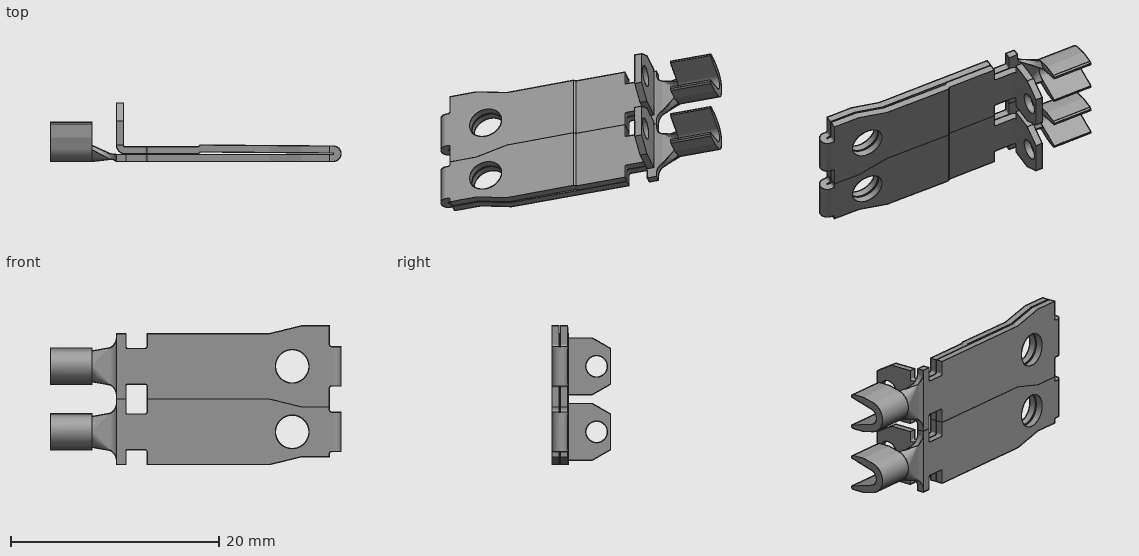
import cadquery as cq
import math


SHEET = 0.69
PITCH = 6.30
LENGTH = 27.94
HALF_PITCH = PITCH / 2

BAR_START = 6.34
BAR_END = 7.27
STRAP_HALF = 1.725
PAD_START = 9.29
PAD_END = 26.82
FLARE_START = 21.08
FLARE_END = 24.16
FLARE_STEP = 0.76
TAB_HALF = 1.905
CORNER_RADIUS = 0.2
HOLE_X = 23.24
HOLE_DIAMETER = 3.2

FOLD_RADIUS = 0.75
FOLD_X = LENGTH - FOLD_RADIUS
FOLD_THICKNESS = 2 * FOLD_RADIUS
LAYER_GAP = 0.05
JOG_START = 14.2
JOG_END = 14.4
JOG_BACK = 1.60
BACK_INNER = SHEET + LAYER_GAP
BACK_OUTER = BACK_INNER + SHEET

TANG_HALF = 2.735
TANG_TOP = 5.65
TANG_TIP_HALF = 1.72
TANG_TAPER_START = 3.88
TANG_FILLET = 0.13
TANG_HOLE_Y = 4.30
TANG_HOLE_DIAMETER = 2.05
BEND_INNER_RADIUS = 0.15
BEND_OUTER_RADIUS = BEND_INNER_RADIUS + SHEET
TANG_BASE = BACK_INNER + BEND_OUTER_RADIUS

BARREL_LENGTH = 4.02
BARREL_RADIUS = 1.55
BARREL_BORE = 0.80
LEG_ANGLE = math.radians(16)
LEG_HALF = 1.765
LEG_FLAT_START = 2.28
LEG_SHOULDER = 3.60
LEG_TIP = 3.78
LEG_TIP_OUTER = 1.64
LEG_TIP_INNER = 1.45

NECK_START = 5.76
NECK_HALF = 1.80
NECK_FRONT = 0.20
NECK_BACK = 0.76
NECK_RADIUS = 1.07
CREASE_HALF = 0.04
BEVEL_WIDTH = 0.04
BEVEL_DEPTH = 0.004
BAR_CORNER_RADIUS = 0.15


def sheet_strip(start, end, half_width):
    """Length of the front layer, centred on Z = 0."""
    return (
        cq.Workplane("XY")
        .box(end - start, SHEET, 2 * half_width, centered=(False, False, True))
        .translate((start, 0, 0))
    )


def carrier_bar():
    """Bar across the front layer, with the start of the strap and its inside corners."""
    bar = sheet_strip(BAR_START, BAR_END, HALF_PITCH)
    bar = bar.union(sheet_strip(BAR_END, PAD_START, STRAP_HALF))
    for side in (1, -1):
        corner = cq.NearestToPointSelector((BAR_END, SHEET / 2, side * STRAP_HALF))
        bar = bar.edges("|Y").edges(corner).fillet(BAR_CORNER_RADIUS)
    return bar


def folded_section():
    """Edge-on shape of both layers, the fold and the bend up to the tang."""
    bend_x = BAR_START + BEND_OUTER_RADIUS
    diagonal = math.sqrt(0.5)
    outer_mid = BEND_OUTER_RADIUS * diagonal
    inner_mid = BEND_INNER_RADIUS * diagonal
    return (
        cq.Workplane("XY")
        .moveTo(BAR_START, 0)
        .lineTo(FOLD_X, 0)
        .threePointArc((LENGTH, FOLD_RADIUS), (FOLD_X, FOLD_THICKNESS))
        .lineTo(JOG_END, JOG_BACK)
        .lineTo(JOG_START, BACK_OUTER)
        .lineTo(bend_x, BACK_OUTER)
        .threePointArc(
            (bend_x - inner_mid, TANG_BASE - inner_mid),
            (bend_x - BEND_INNER_RADIUS, TANG_BASE),
        )
        .lineTo(BAR_START, TANG_BASE)
        .threePointArc((bend_x - outer_mid, TANG_BASE - outer_mid), (bend_x, BACK_INNER))
        .lineTo(JOG_START, BACK_INNER)
        .lineTo(JOG_END, JOG_BACK - SHEET)
        .lineTo(FOLD_X, FOLD_THICKNESS - SHEET)
        .lineTo(FOLD_X, SHEET)
        .lineTo(BAR_START, SHEET)
        .close()
        .extrude(HALF_PITCH + FLARE_STEP, both=True)
    )


def face_outline(flare):
    """Face-on shape of the strap, pad and tab, with the contact hole."""
    end_half = HALF_PITCH + flare
    upper = [
        (BAR_START, STRAP_HALF),
        (PAD_START, STRAP_HALF),
        (PAD_START, HALF_PITCH),
        (FLARE_START, HALF_PITCH),
        (FLARE_END, end_half),
        (PAD_END, end_half),
        (PAD_END, TAB_HALF),
        (LENGTH, TAB_HALF),
    ]
    lower = [(x, -z) for x, z in reversed(upper)]
    blank = cq.Workplane("XZ").polyline(upper + lower).close().extrude(-TANG_TOP)
    for x, z in ((PAD_START, STRAP_HALF), (PAD_END, TAB_HALF)):
        for side in (1, -1):
            corner = cq.NearestToPointSelector((x, TANG_TOP / 2, side * z))
            blank = blank.edges("|Y").edges(corner).fillet(CORNER_RADIUS)
    hole = (
        cq.Workplane("XZ")
        .center(HOLE_X, 0)
        .circle(HOLE_DIAMETER / 2)
        .extrude(-TANG_TOP)
    )
    return blank.cut(hole)


def tang():
    """Upright lug with a hole and tapered end corners."""
    fillet_mid = TANG_FILLET * (1 - math.sqrt(0.5))
    fillet_start = TANG_BASE - TANG_FILLET
    fillet_end = STRAP_HALF + TANG_FILLET
    corners = [
        (TANG_BASE, TANG_HALF),
        (TANG_TAPER_START, TANG_HALF),
        (TANG_TOP, TANG_TIP_HALF),
        (TANG_TOP, -TANG_TIP_HALF),
        (TANG_TAPER_START, -TANG_HALF),
        (TANG_BASE, -TANG_HALF),
        (TANG_BASE, -fillet_end),
    ]
    outline = (
        cq.Workplane("YZ")
        .moveTo(TANG_BASE, STRAP_HALF)
        .lineTo(fillet_start, STRAP_HALF)
        .threePointArc((TANG_BASE - fillet_mid, STRAP_HALF + fillet_mid), (TANG_BASE, fillet_end))
    )
    for corner in corners:
        outline = outline.lineTo(*corner)
    plate = (
        outline.threePointArc(
            (TANG_BASE - fillet_mid, -STRAP_HALF - fillet_mid), (fillet_start, -STRAP_HALF)
        )
        .lineTo(TANG_BASE, -STRAP_HALF)
        .close()
        .extrude(SHEET)
    )
    hole = (
        cq.Workplane("YZ")
        .center(TANG_HOLE_Y, 0)
        .circle(TANG_HOLE_DIAMETER / 2)
        .extrude(SHEET)
    )
    return plate.cut(hole).translate((BAR_START, 0, 0))


def round_point(radius, side):
    """Point where a round of the barrel base meets the leg on one side."""
    return (
        BARREL_RADIUS - radius * math.sin(LEG_ANGLE),
        side * radius * math.cos(LEG_ANGLE),
    )


def barrel():
    """Open crimp barrel."""
    bore_bottom = BARREL_RADIUS - BARREL_BORE

    def leg(side):
        return [
            (LEG_FLAT_START, side * LEG_HALF),
            (LEG_SHOULDER, side * LEG_HALF),
            (LEG_TIP, side * LEG_TIP_OUTER),
            (LEG_TIP, side * LEG_TIP_INNER),
        ]

    section = (
        cq.Workplane("YZ")
        .moveTo(*round_point(BARREL_RADIUS, -1))
        .threePointArc((0, 0), round_point(BARREL_RADIUS, 1))
    )
    for point in leg(1) + [round_point(BARREL_BORE, 1)]:
        section = section.lineTo(*point)
    section = section.threePointArc((bore_bottom, 0), round_point(BARREL_BORE, -1))
    for point in reversed(leg(-1)):
        section = section.lineTo(*point)
    return section.close().extrude(BARREL_LENGTH)


def transition():
    """Ruled shape that flattens the barrel base into the neck.

    Each half of the round base runs to a bevelled corner of the flattened end, which leaves
    a flat triangle between them on the front and on the back.
    """
    bore_bottom = BARREL_RADIUS - BARREL_BORE
    arc_mid = math.pi / 4

    def around(radius, angle, side):
        return (
            BARREL_RADIUS - radius * math.cos(angle),
            side * radius * math.sin(angle),
        )

    outer_end = round_point(BARREL_RADIUS, 1)
    outer_end_far = round_point(BARREL_RADIUS, -1)
    bevel_front = NECK_FRONT + BEVEL_DEPTH
    bevel_back = NECK_BACK - BEVEL_DEPTH
    bevel_half = NECK_HALF - BEVEL_WIDTH
    return (
        cq.Workplane("YZ", origin=(BARREL_LENGTH, 0, 0))
        .moveTo(*outer_end_far)
        .threePointArc(around(BARREL_RADIUS, arc_mid, -1), (0, -CREASE_HALF))
        .lineTo(0, CREASE_HALF)
        .threePointArc(around(BARREL_RADIUS, arc_mid, 1), outer_end)
        .lineTo(BARREL_RADIUS, BARREL_BORE)
        .threePointArc(around(BARREL_BORE, arc_mid, 1), (bore_bottom, CREASE_HALF))
        .lineTo(bore_bottom, -CREASE_HALF)
        .threePointArc(around(BARREL_BORE, arc_mid, -1), (BARREL_RADIUS, -BARREL_BORE))
        .close()
        .workplane(offset=NECK_START - BARREL_LENGTH)
        .moveTo(bevel_front, -NECK_HALF)
        .lineTo(NECK_FRONT, -bevel_half)
        .lineTo(NECK_FRONT, bevel_half)
        .lineTo(bevel_front, NECK_HALF)
        .lineTo(bevel_back, NECK_HALF)
        .lineTo(NECK_BACK, bevel_half)
        .lineTo(NECK_BACK, -bevel_half)
        .lineTo(bevel_back, -NECK_HALF)
        .close()
        .loft(ruled=True, combine=True)
    )


def neck():
    """Piece that widens into the carrier bar and steps down to its front face."""
    reach = BAR_START - NECK_START
    rise = math.sqrt(NECK_RADIUS**2 - (NECK_RADIUS - reach) ** 2)
    wide_half = NECK_HALF + rise
    half_angle = math.asin(rise / NECK_RADIUS) / 2
    mid_x = BAR_START - NECK_RADIUS * (1 - math.cos(half_angle))
    mid_z = wide_half - NECK_RADIUS * math.sin(half_angle)
    outline = (
        cq.Workplane("XZ")
        .moveTo(NECK_START, -NECK_HALF)
        .lineTo(NECK_START, NECK_HALF)
        .threePointArc((mid_x, mid_z), (BAR_START, wide_half))
        .lineTo(BAR_START, -wide_half)
        .threePointArc((mid_x, -mid_z), (NECK_START, -NECK_HALF))
        .close()
        .extrude(-NECK_BACK)
    )
    section = (
        cq.Workplane("XY")
        .moveTo(BARREL_LENGTH, 0)
        .lineTo(NECK_START, NECK_FRONT)
        .tangentArcPoint((BAR_START, 0), relative=False)
        .lineTo(BAR_START, SHEET)
        .lineTo(NECK_START, NECK_BACK)
        .lineTo(BARREL_LENGTH, SHEET)
        .close()
        .extrude(wide_half, both=True)
    )
    return outline.intersect(section)


def terminal(flare, z):
    """One folded terminal, its pad end wider or narrower than the pitch by the flare."""
    body = folded_section().intersect(face_outline(flare))
    for piece in (carrier_bar(), tang(), neck(), transition(), barrel()):
        body = body.union(piece)
    return body.translate((0, 0, z))


narrow_terminal = terminal(-FLARE_STEP, 0)
wide_terminal = terminal(FLARE_STEP, PITCH)

result = cq.Compound.makeCompound([narrow_terminal.val(), wide_terminal.val()])